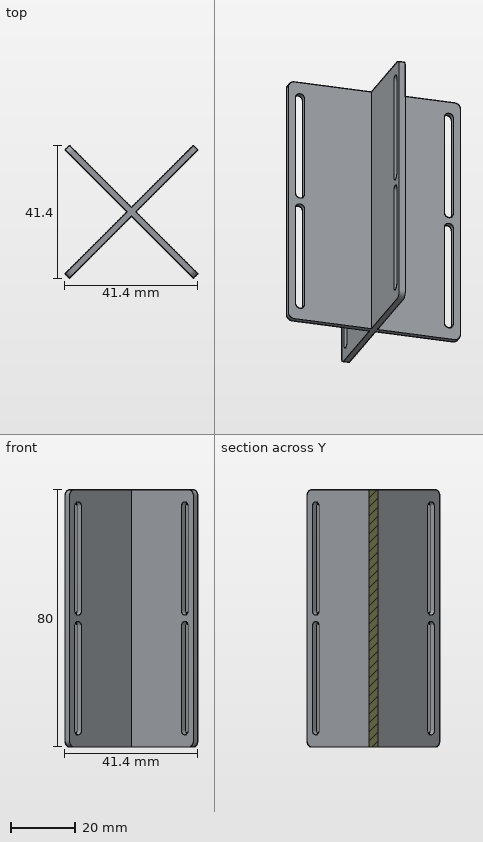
import cadquery as cq

height = 80.0
plate_width = 56.5
thickness = 2.0
corner_radius = 2.0

slot_width = 2.9
slot_length = 35.2
slot_edge_distance = 3.8
slot_gap = 2.0

slot_x = plate_width / 2 - slot_edge_distance
slot_z = (slot_length + slot_gap) / 2
slot_centers = [(x, z) for x in (-slot_x, slot_x) for z in (-slot_z, slot_z)]


def slotted_plate(angle):
    """Upright plate centred on the origin, turned about Z by the angle in degrees."""
    plate = cq.Workplane("XY").box(plate_width, thickness, height)
    plate = plate.edges("|Y").fillet(corner_radius)
    slots = (
        cq.Workplane("XZ")
        .pushPoints(slot_centers)
        .slot2D(slot_length, slot_width, 90)
        .extrude(thickness, both=True)
    )
    return plate.cut(slots).rotate((0, 0, 0), (0, 0, 1), angle)


result = slotted_plate(45).union(slotted_plate(-45))